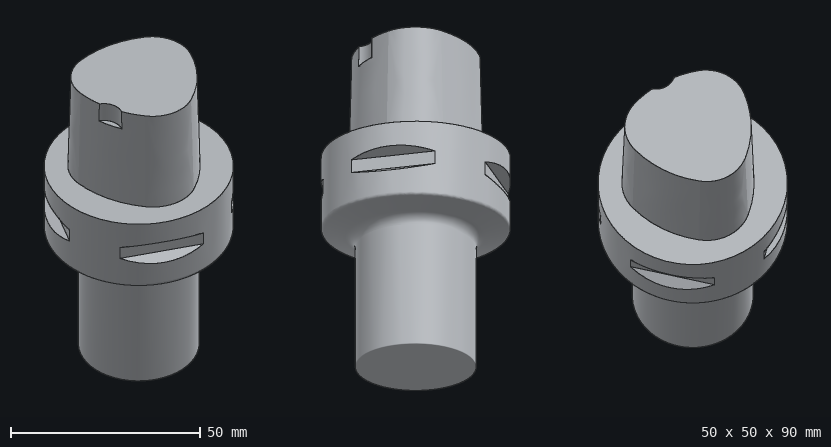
import cadquery as cq
import math

total_height = 90.0
taper_height = 30.0
collar_top = total_height - taper_height
collar_corner = 39.15
neck_start = 34.3

collar_radius = 50.0 / 2
shank_radius = 32.0 / 2
collar_edge_round = 1.0
shank_edge_round = 0.3
underside_slope = math.radians(15)

lobe_reach = 18.7
flank_reach = 16.2
lobe_offset = 7.2
taper_per_side = 1 / 40

groove_count = 4
groove_height = 49.95
groove_floor_radius = 22.2
groove_floor_width = 3.6
groove_mouth_width = 6.9

notch_radius = 4.95
notch_inner_y = -13.95
notch_depth = 5.7


def polar(radius, angle):
    """Point at a distance and an angle in degrees from the axis."""
    turn = math.radians(angle)
    return radius * math.cos(turn), radius * math.sin(turn)


def make_turned_body():
    """Shank, filleted neck and collar as one revolved profile."""
    cos_slope = math.cos(underside_slope)
    sin_slope = math.sin(underside_slope)
    cone_drop = collar_corner - neck_start
    cone_run = collar_radius - shank_radius
    drop_at_shank = cone_drop - cone_run * math.tan(underside_slope)
    neck_radius = drop_at_shank * cos_slope / (1 - sin_slope)
    neck_end = (
        shank_radius + neck_radius * (1 - sin_slope),
        neck_start + neck_radius * cos_slope,
    )
    profile = (
        cq.Workplane("XZ")
        .lineTo(shank_radius, 0)
        .lineTo(shank_radius, neck_start)
        .tangentArcPoint(neck_end, relative=False)
        .lineTo(collar_radius, collar_corner)
        .lineTo(collar_radius, collar_top)
        .lineTo(0, collar_top)
        .close()
    )
    body = profile.revolve(360, (0, 0, 0), (0, 1, 0))
    collar_edge = cq.selectors.BoxSelector(
        (-collar_radius, -collar_radius, collar_corner - 0.1),
        (collar_radius + 0.9, collar_radius, collar_corner + 0.1),
    )
    body = body.edges(collar_edge).fillet(collar_edge_round)
    return body.faces("<Z").edges().fillet(shank_edge_round)


def make_lobed_taper():
    """Three lobe arcs joined tangentially by three flank arcs, drawn inward with height."""
    step = lobe_reach - flank_reach
    flank_offset = step * (2 * lobe_offset - step) / (lobe_offset - 2 * step)
    flank_radius = flank_reach + flank_offset

    lobe_x, lobe_y = polar(lobe_offset, -30)
    direction = math.atan2(lobe_y - flank_offset, lobe_x)
    joint_x = flank_radius * math.cos(direction)
    joint_y = flank_offset + flank_radius * math.sin(direction)
    joint_distance = math.hypot(joint_x, joint_y)
    joint_angle = math.degrees(math.atan2(joint_y, joint_x))
    flank_half_angle = joint_angle + 90

    outline = cq.Workplane("XY", origin=(0, 0, collar_top))
    outline = outline.moveTo(*polar(joint_distance, -90 - flank_half_angle))
    for flank_angle in (-90, 30, 150):
        outline = outline.threePointArc(
            polar(flank_reach, flank_angle),
            polar(joint_distance, flank_angle + flank_half_angle),
        )
        outline = outline.threePointArc(
            polar(lobe_reach, flank_angle + 60),
            polar(joint_distance, flank_angle + 120 - flank_half_angle),
        )
    lean = math.degrees(math.atan(taper_per_side))
    return outline.close().extrude(taper_height, taper=lean)


def make_groove_cutter():
    """Straight groove with a flat floor and sloping walls, on the +X side."""
    length = 2 * collar_radius
    half_floor = groove_floor_width / 2
    half_mouth = groove_mouth_width / 2
    return (
        cq.Workplane("XZ", origin=(0, length / 2, groove_height))
        .moveTo(groove_floor_radius, -half_floor)
        .lineTo(collar_radius, -half_mouth)
        .lineTo(collar_radius, half_mouth)
        .lineTo(groove_floor_radius, half_floor)
        .close()
        .extrude(length)
    )


def make_notch_cutter():
    """Round cutter that leaves a shallow key notch in the -Y flank."""
    centre_y = notch_inner_y - notch_radius
    return (
        cq.Workplane("XY", origin=(0, centre_y, total_height - notch_depth))
        .circle(notch_radius)
        .extrude(notch_depth)
    )


result = make_turned_body().union(make_lobed_taper())

groove_cutter = make_groove_cutter()
for index in range(groove_count):
    groove_angle = (index + 0.5) * 360 / groove_count
    result = result.cut(groove_cutter.rotate((0, 0, 0), (0, 0, 1), groove_angle))

result = result.cut(make_notch_cutter())